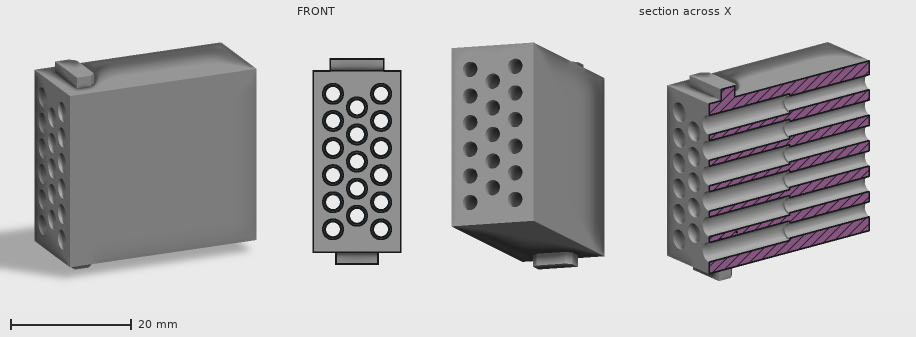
import cadquery as cq

width = 14.6
depth = 34.0
overall_height = 34.2

tab_height = 2.0
top_tab_width = 9.0
bottom_tab_width = 7.0
tab_length = 3.5
tab_setback = 2.53
tab_chamfer = 1.0

bore_diameter = 2.6
counterbore_diameter = 3.4
counterbore_depth = depth / 2
column_spacing = 4.0
row_pitch = 4.5
side_rows = 6
middle_rows = side_rows - 1

body_height = overall_height - 2 * tab_height
front_y = -depth / 2


def make_tab(tab_width, bottom_z):
    """Tab set back from the front face, with its two rear corners chamfered."""
    tab_center_y = front_y + tab_setback + tab_length / 2
    return (
        cq.Workplane("XY")
        .box(tab_width, tab_length, tab_height, centered=(True, True, False))
        .edges("|Z and >Y")
        .chamfer(tab_chamfer)
        .translate((0, tab_center_y, bottom_z))
    )


def column_points(x, rows):
    """Centers of one column of holes, spread evenly about mid-height."""
    first_z = -(rows - 1) * row_pitch / 2
    return [(x, first_z + row * row_pitch) for row in range(rows)]


hole_points = (
    column_points(-column_spacing, side_rows)
    + column_points(0, middle_rows)
    + column_points(column_spacing, side_rows)
)

body = cq.Workplane("XY").box(width, depth, body_height)
body = body.union(make_tab(top_tab_width, body_height / 2))
body = body.union(make_tab(bottom_tab_width, -overall_height / 2))

result = (
    body.faces("<Y")
    .workplane(origin=(0, front_y, 0))
    .pushPoints(hole_points)
    .cboreHole(bore_diameter, counterbore_diameter, counterbore_depth)
)